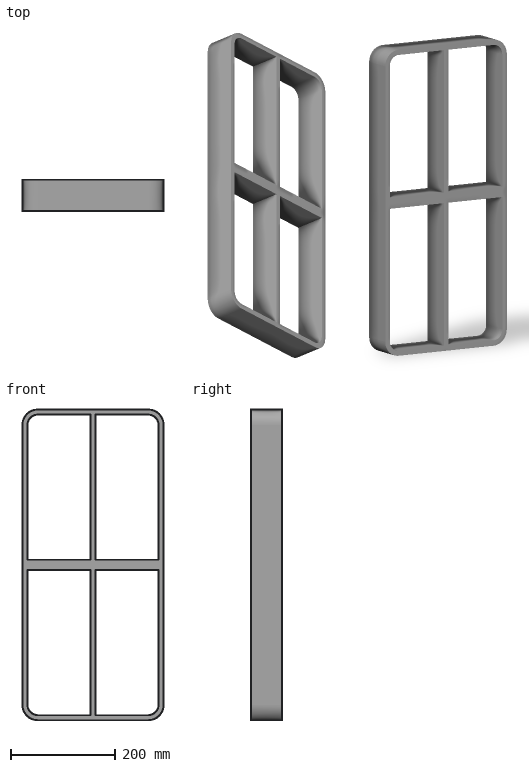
import cadquery as cq

width = 271.0
depth = 60.0
height = 596.0

wall = 10.0
corner_radius = 30.0
upright_thickness = 10.0
crossbar_thickness = 2 * wall


def rounded_block(inset):
    """Full-depth block, inset from the outer outline, with rounded corners along Y."""
    block = cq.Workplane("XY").box(width - 2 * inset, depth, height - 2 * inset)
    return block.edges("|Y").fillet(corner_radius - inset)


frame = rounded_block(0).cut(rounded_block(wall))

upright = cq.Workplane("XY").box(upright_thickness, depth, height - wall)
crossbar = cq.Workplane("XY").box(width - wall, depth, crossbar_thickness)

result = frame.union(upright).union(crossbar).clean()